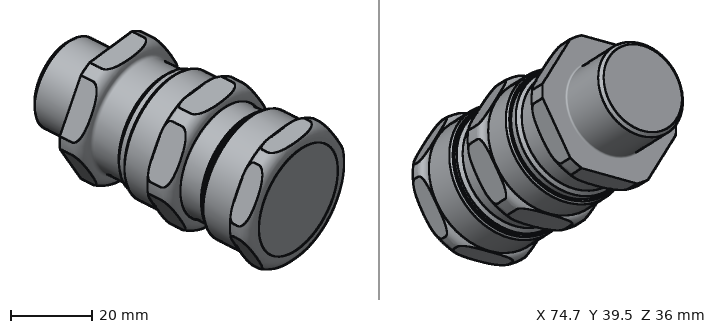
import cadquery as cq
import math

LENGTH = 74.7
ACROSS_FLATS = 36.0
CORNER_RADIUS = 39.5 / 2
BARREL_RADIUS = 31.2 / 2
SHELL_RADIUS = 35.6 / 2
SEAL_RADIUS = 33.3 / 2

CROWN = 3.1
FRONT_CROWN = CORNER_RADIUS - SHELL_RADIUS
SHELL_CHAMFER = 0.6

SPIGOT_RADIUS = 25.0 / 2
SPIGOT_CHAMFER = 1.0
SPIGOT_FILLET = 0.45
ENTRY_HEX_START = 14.85
ENTRY_CROWN_END = 21.8
ENTRY_NECK_RADIUS = 1.0
ENTRY_NECK_LENGTH = ENTRY_NECK_RADIUS

COUPLING_START = 33.4
COUPLING_HEX_START = 41.8
COUPLING_CROWN_END = 50.2
COUPLING_NECK_RADIUS = 1.5
COUPLING_NECK_LENGTH = 0.9

END_NUT_START = 58.5
END_HEX_START = 68.1
END_NUT_END = 74.6

FIRST_SEAL_START = 30.25
SECOND_SEAL_START = 56.45

END_SEAL_RADIUS = 30.5 / 2
END_SEAL_DEPTH = 3.0

COS_45 = math.sqrt(0.5)
HALF_CORNER_STEP = 360 / 6 / 2


def crown(profile, crown_end):
    """Rounds a hexagon's corners down towards +X, ending square to the axis at crown_end."""
    start = crown_end - CROWN
    base = CORNER_RADIUS - CROWN
    return (
        profile.lineTo(start, CORNER_RADIUS)
        .threePointArc((start + CROWN * COS_45, base + CROWN * COS_45), (crown_end, base))
    )


def neck_and_barrel(profile, crown_end, neck_radius, neck_length, barrel_end):
    """Runs down the hexagon's rear face, blends into the barrel and ends at the barrel's end face.

    The concave neck is tangent to the barrel. When it is as long as its radius it is a quarter
    arc, tangent to the rear face too; when shorter it meets the rear face at a crease.
    """
    neck_angle = math.asin(neck_length / neck_radius)
    neck_end = crown_end + neck_length

    def neck_point(angle):
        return (
            neck_end - neck_radius * math.sin(angle),
            BARREL_RADIUS + neck_radius * (1 - math.cos(angle)),
        )

    return (
        profile.lineTo(*neck_point(neck_angle))
        .threePointArc(neck_point(neck_angle / 2), (neck_end, BARREL_RADIUS))
        .lineTo(barrel_end, BARREL_RADIUS)
        .lineTo(barrel_end, 0)
    )


def shell_and_front_crown(shell_start, hex_start):
    """Starts a nut's profile: chamfered round shell, then the rounded front of its hexagon."""
    sag = FRONT_CROWN * (1 - COS_45)
    return (
        cq.Workplane("XY")
        .moveTo(shell_start, 0)
        .lineTo(shell_start, SHELL_RADIUS - SHELL_CHAMFER)
        .lineTo(shell_start + SHELL_CHAMFER, SHELL_RADIUS)
        .lineTo(hex_start, SHELL_RADIUS)
        .threePointArc(
            (hex_start + sag, CORNER_RADIUS - sag), (hex_start + FRONT_CROWN, CORNER_RADIUS)
        )
    )


def turned(profile):
    """Closes a half profile along the axis and revolves it about X."""
    return profile.close().revolve(360, (0, 0, 0), (1, 0, 0))


def with_flats(body):
    """Trims a turned body to the hexagon, with two of the six flats facing +Z and -Z."""
    hexagon = cq.Workplane("YZ").polygon(6, ACROSS_FLATS, circumscribed=True).extrude(LENGTH)
    hexagon = hexagon.rotate((0, 0, 0), (1, 0, 0), HALF_CORNER_STEP)
    return body.intersect(hexagon)


def make_entry():
    fillet_top = SPIGOT_RADIUS + SPIGOT_FILLET
    fillet_start = ENTRY_HEX_START - SPIGOT_FILLET
    sag = SPIGOT_FILLET * (1 - COS_45)
    profile = (
        cq.Workplane("XY")
        .lineTo(0, SPIGOT_RADIUS - SPIGOT_CHAMFER)
        .lineTo(SPIGOT_CHAMFER, SPIGOT_RADIUS)
        .lineTo(fillet_start, SPIGOT_RADIUS)
        .threePointArc(
            (ENTRY_HEX_START - sag, SPIGOT_RADIUS + sag), (ENTRY_HEX_START, fillet_top)
        )
        .lineTo(ENTRY_HEX_START, CORNER_RADIUS)
    )
    profile = crown(profile, ENTRY_CROWN_END)
    profile = neck_and_barrel(
        profile, ENTRY_CROWN_END, ENTRY_NECK_RADIUS, ENTRY_NECK_LENGTH, COUPLING_START
    )
    return with_flats(turned(profile))


def make_coupling_nut():
    profile = shell_and_front_crown(COUPLING_START, COUPLING_HEX_START)
    profile = crown(profile, COUPLING_CROWN_END)
    profile = neck_and_barrel(
        profile, COUPLING_CROWN_END, COUPLING_NECK_RADIUS, COUPLING_NECK_LENGTH, END_NUT_START
    )
    return with_flats(turned(profile))


def make_end_nut():
    profile = shell_and_front_crown(END_NUT_START, END_HEX_START)
    profile = crown(profile, END_NUT_END).lineTo(END_NUT_END, 0)
    recess = (
        cq.Workplane("YZ", origin=(END_NUT_END - END_SEAL_DEPTH, 0, 0))
        .circle(END_SEAL_RADIUS)
        .extrude(END_SEAL_DEPTH)
    )
    return with_flats(turned(profile)).cut(recess)


def make_end_seal():
    """Disc that fills the end nut's recess and reaches the far end of the gland."""
    start = END_NUT_END - END_SEAL_DEPTH
    return cq.Workplane("YZ", origin=(start, 0, 0)).circle(END_SEAL_RADIUS).extrude(LENGTH - start)


def make_sealing_ring(start, end):
    """Ring around a barrel: a 45 degree cone rising from the barrel, then a round collar."""
    thickness = SEAL_RADIUS - BARREL_RADIUS
    profile = (
        cq.Workplane("XY")
        .moveTo(start, BARREL_RADIUS)
        .lineTo(start + thickness, SEAL_RADIUS)
        .lineTo(end, SEAL_RADIUS)
        .lineTo(end, BARREL_RADIUS)
    )
    return turned(profile)


entry = make_entry()
coupling_nut = make_coupling_nut()
end_nut = make_end_nut()
end_seal = make_end_seal()

ring_spans = [(FIRST_SEAL_START, COUPLING_START), (SECOND_SEAL_START, END_NUT_START)]
sealing_rings = [make_sealing_ring(start, end).val() for start, end in ring_spans]

result = cq.Compound.makeCompound(
    [entry.val(), coupling_nut.val(), end_nut.val(), end_seal.val(), *sealing_rings]
)